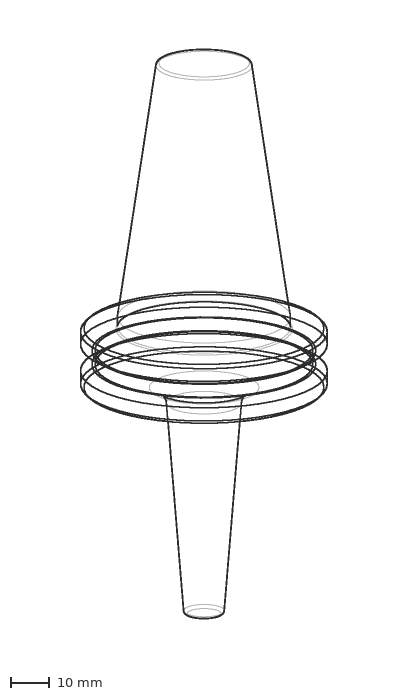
import cadquery as cq
import math

total_height = 148.4
taper_length = 68.4
collar_height = 3.1
flange_thickness = 15.9
gauge_z = total_height - taper_length
flange_top_z = gauge_z - collar_height
flange_bottom_z = flange_top_z - flange_thickness

gauge_radius = 22.3
taper_slope = 7 / 24 / 2
shank_top_radius = gauge_radius - taper_length * taper_slope
shank_top_fillet = 0.7
collar_fillet = 0.5

flange_radius = 31.8
flange_chamfer = 0.9
groove_floor_radius = 28.0
groove_floor_width = 3.7
groove_mouth_width = 7.1
groove_flank_angle = math.radians(30)
groove_center_z = gauge_z - 11.0

nose_tip_radius = 5.2
nose_half_angle = math.radians(4.5)
nose_root_radius = nose_tip_radius + flange_bottom_z * math.tan(nose_half_angle)
nose_root_fillet = 4.5
nose_tip_fillet = 0.9


def make_shank():
    """Tapered shank and collar, sunk to the underside of the flange."""
    collar = cq.Workplane("XY", origin=(0, 0, flange_bottom_z)).circle(gauge_radius)
    collar = collar.extrude(gauge_z - flange_bottom_z)
    taper = cq.Solid.makeCone(
        gauge_radius, shank_top_radius, taper_length, pnt=cq.Vector(0, 0, gauge_z)
    )
    return collar.union(taper).faces(">Z").edges().fillet(shank_top_fillet)


def make_flange():
    """Disc with chamfered rims."""
    disc = cq.Workplane("XY", origin=(0, 0, flange_bottom_z)).circle(flange_radius)
    return disc.extrude(flange_thickness).edges().chamfer(flange_chamfer)


def make_groove():
    """Ring of material removed by the gripper groove."""
    half_floor = groove_floor_width / 2
    half_mouth = groove_mouth_width / 2
    ledge_radius = flange_radius - (half_mouth - half_floor) / math.tan(groove_flank_angle)
    profile = cq.Workplane("XZ").polyline([
        (groove_floor_radius, groove_center_z - half_floor),
        (ledge_radius, groove_center_z - half_floor),
        (flange_radius, groove_center_z - half_mouth),
        (flange_radius, groove_center_z + half_mouth),
        (ledge_radius, groove_center_z + half_floor),
        (groove_floor_radius, groove_center_z + half_floor),
    ]).close()
    return profile.revolve(360, (0, 0, 0), (0, 1, 0))


def make_nose():
    """Cone that widens from the rounded tip up to the flange."""
    cone = cq.Solid.makeCone(nose_tip_radius, nose_root_radius, flange_bottom_z)
    return cq.Workplane(cone).faces("<Z").edges().fillet(nose_tip_fillet)


def fillet_circle(body, radius, z, fillet_radius):
    """Round the circular edge of the given radius and height."""
    tolerance = 0.01
    edges = body.edges("%CIRCLE").filter(
        lambda edge: abs(edge.radius() - radius) < tolerance
        and abs(edge.Center().z - z) < tolerance
    )
    return edges.fillet(fillet_radius)


result = make_shank().union(make_flange()).cut(make_groove()).union(make_nose())
result = fillet_circle(result, gauge_radius, flange_top_z, collar_fillet)
result = fillet_circle(result, nose_root_radius, flange_bottom_z, nose_root_fillet)